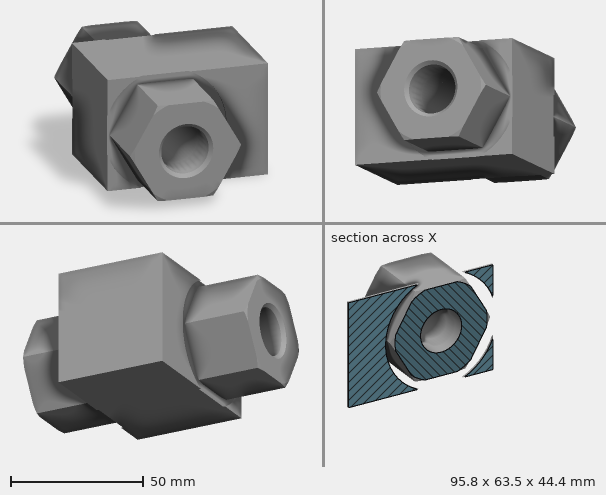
import cadquery as cq
import math


overall_length = 95.8
block_width = 44.4
block_depth = 63.5
axis_to_front = 22.9
flow_bore_diameter = 17.8
spotface_diameter = 48.5
spotface_depth = 0.8

hex_across_flats = 38.1
hex_face_diameter = 40.6
corner_chamfer_angle = 20.0
port_diameter = 18.8
port_taper_length = 12.3
port_mouth_diameter = 21.5
port_chamfer_depth = 1.4

hex_across_corners = hex_across_flats / math.cos(math.pi / 6)
seat_x = block_width / 2 - spotface_depth
fitting_length = overall_length / 2 - seat_x


def make_housing():
    """Block with a through bore along X and a shallow spotface on each X side."""
    block = cq.Workplane("XY").box(block_width, block_depth, block_width)
    block = block.translate((0, block_depth / 2 - axis_to_front, 0))
    bore = cq.Workplane("YZ").circle(flow_bore_diameter / 2).extrude(block_width / 2, both=True)
    block = block.cut(bore)
    for side in (-1, 1):
        spotface = (
            cq.Workplane("YZ")
            .workplane(offset=side * seat_x)
            .circle(spotface_diameter / 2)
            .extrude(side * spotface_depth)
        )
        block = block.cut(spotface)
    return block


def make_corner_envelope():
    """Turned blank with both rims chamfered; it trims the corners of the hexagon."""
    face_radius = hex_face_diameter / 2
    corner_radius = hex_across_corners / 2
    chamfer_height = (corner_radius - face_radius) * math.tan(math.radians(corner_chamfer_angle))
    outer_x = seat_x + fitting_length
    profile = [
        (seat_x, 0),
        (seat_x, face_radius),
        (seat_x + chamfer_height, corner_radius),
        (outer_x - chamfer_height, corner_radius),
        (outer_x, face_radius),
        (outer_x, 0),
    ]
    return cq.Workplane("XY").polyline(profile).close().revolve(360, (0, 0, 0), (1, 0, 0))


def make_port():
    """Bore that continues the flow bore, widens along a taper and ends in a chamfered mouth."""
    outer_x = seat_x + fitting_length
    taper_start_x = outer_x - port_chamfer_depth
    profile = [
        (seat_x, 0),
        (seat_x, flow_bore_diameter / 2),
        (taper_start_x - port_taper_length, flow_bore_diameter / 2),
        (taper_start_x, port_diameter / 2),
        (outer_x, port_mouth_diameter / 2),
        (outer_x, 0),
    ]
    return cq.Workplane("XY").polyline(profile).close().revolve(360, (0, 0, 0), (1, 0, 0))


def make_fitting(turn):
    """Hexagonal fitting seated in a spotface; turn is its rotation about Z, 0 for the +X end."""
    hexagon = (
        cq.Workplane("YZ")
        .workplane(offset=seat_x)
        .polygon(6, hex_across_corners)
        .extrude(fitting_length)
    )
    fitting = hexagon.intersect(make_corner_envelope()).cut(make_port())
    return fitting.rotate((0, 0, 0), (0, 0, 1), turn)


housing = make_housing()
fittings = [make_fitting(turn) for turn in (0, 180)]

result = cq.Compound.makeCompound([housing.val(), *[fitting.val() for fitting in fittings]])